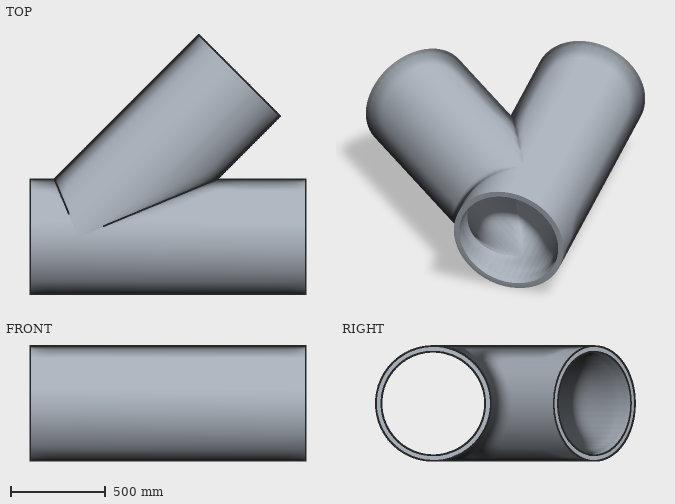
import cadquery as cq

outer_diameter = 609.0
bore_diameter = 548.0
run_length = 1460.0
branch_length = 1206.0
branch_position = 255.0
branch_angle = 45.0


def run_cylinder(diameter):
    """Cylinder along X whose origin is where the two pipe axes cross."""
    start = cq.Workplane("YZ").workplane(offset=-branch_position)
    return start.circle(diameter / 2).extrude(run_length)


def branch_cylinder(diameter):
    """Cylinder from the axis crossing, swung toward +Y."""
    straight = cq.Workplane("YZ").circle(diameter / 2).extrude(branch_length)
    return straight.rotate((0, 0, 0), (0, 0, 1), branch_angle)


def pipe_volume(diameter):
    """Run and branch of equal diameter, joined along a mitred seam."""
    return run_cylinder(diameter).union(branch_cylinder(diameter))


result = pipe_volume(outer_diameter).cut(pipe_volume(bore_diameter))